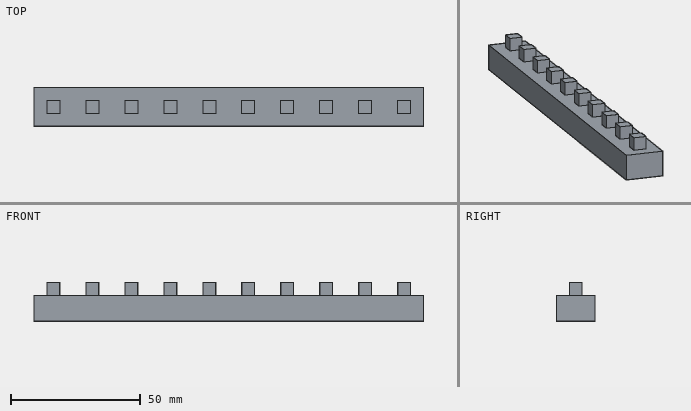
import cadquery as cq

peg_count = 10
peg_pitch = 15.0
peg_size = 5.0
bar_width = 15.0
bar_height = 10.0

bar_length = peg_count * peg_pitch


def make_bar():
    """Rectangular bar centred in X and Y, standing on Z = 0."""
    return cq.Workplane("XY").box(bar_length, bar_width, bar_height, centered=(True, True, False))


def add_pegs(body):
    """Row of evenly spaced cubic pegs along the middle of the top face."""
    pegs = (
        cq.Workplane("XY")
        .workplane(offset=bar_height)
        .rarray(peg_pitch, 1, peg_count, 1)
        .rect(peg_size, peg_size)
        .extrude(peg_size)
    )
    return body.union(pegs)


result = add_pegs(make_bar())